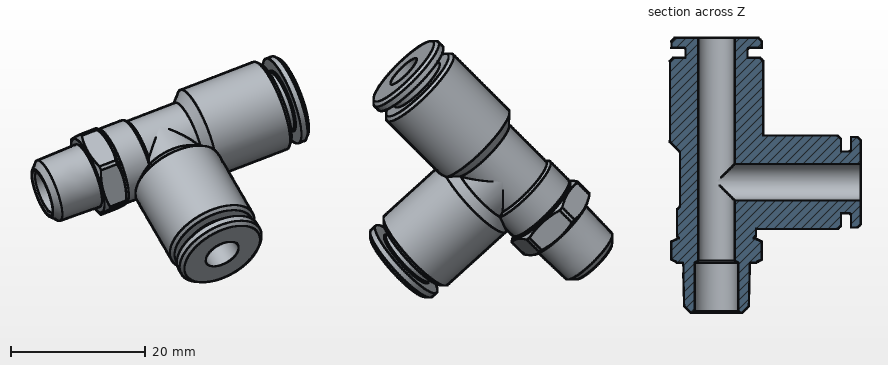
import cadquery as cq
import math


socket_diameter = 14.0
socket_radius = socket_diameter / 2
socket_end = 18.57
socket_chamfer = 0.55
stem_radius = 5.5
shoulder_start = 4.5
shoulder_end = shoulder_start + socket_radius - stem_radius

sleeve_radius = 4.65
sleeve_cap_radius = 6.75
sleeve_cap_start = 20.0
sleeve_end = 21.52
sleeve_cap_chamfer = 0.55
sleeve_neck_chamfer = 0.2

collar_radius = 5.9
collar_start = 3.6
collar_top_chamfer = collar_radius - stem_radius
collar_bottom_chamfer = 0.35

hex_start = 8.35
hex_end = 12.0
hex_sides = 6
hex_across_flats = 12.0
hex_corner_radius = 6.75
hex_face_radius = 5.85
hex_bevel_height = 0.5

overall_length = 41
plug_end = overall_length - sleeve_end
plug_root_radius = 5.0
plug_tip_radius = 4.85
plug_chamfer = 1.02

bore_radius = 2.7
plug_bore_radius = 3.25
plug_bore_start = hex_end
drill_point_angle = 118
plug_bore_cone_depth = (plug_bore_radius - bore_radius) / math.tan(math.radians(drill_point_angle / 2))
plug_mouth_chamfer = 0.33


def turned(profile):
    """Solid of revolution about Y from (radius, distance) points, closed along the axis."""
    first_distance = profile[0][1]
    last_distance = profile[-1][1]
    points = [(0, first_distance)] + profile + [(0, last_distance)]
    return cq.Workplane("XY").polyline(points).close().revolve(360, (0, 0, 0), (0, 1, 0))


def socket_arm():
    """Stem and socket with its release sleeve, pointing along +Y from the crossing point."""
    return turned([
        (stem_radius, 0),
        (stem_radius, shoulder_start),
        (socket_radius, shoulder_end),
        (socket_radius, socket_end - socket_chamfer),
        (socket_radius - socket_chamfer, socket_end),
        (sleeve_radius, socket_end),
        (sleeve_radius, sleeve_cap_start - sleeve_neck_chamfer),
        (sleeve_radius + sleeve_neck_chamfer, sleeve_cap_start),
        (sleeve_cap_radius, sleeve_cap_start),
        (sleeve_cap_radius, sleeve_end - sleeve_cap_chamfer),
        (sleeve_cap_radius - sleeve_cap_chamfer, sleeve_end),
    ])


def lower_stem():
    """Stem, collar and thread plug below the crossing point."""
    return turned([
        (stem_radius, 0),
        (stem_radius, -collar_start),
        (collar_radius, -collar_start - collar_top_chamfer),
        (collar_radius, -hex_start + collar_bottom_chamfer),
        (collar_radius - collar_bottom_chamfer, -hex_start),
        (plug_root_radius, -hex_start),
        (plug_root_radius, -hex_end),
        (plug_tip_radius, -plug_end + plug_chamfer),
        (plug_tip_radius - plug_chamfer, -plug_end),
    ])


def hex_nut():
    """Hexagon with flats facing +Z and -Z, rounded at the corners and bevelled on both faces."""
    corner_diameter = hex_across_flats / math.cos(math.pi / hex_sides)
    prism = (
        cq.Workplane("XZ", origin=(0, -hex_start, 0))
        .polygon(hex_sides, corner_diameter)
        .extrude(hex_end - hex_start)
    )
    bevel_envelope = turned([
        (hex_face_radius, -hex_start),
        (hex_corner_radius, -hex_start - hex_bevel_height),
        (hex_corner_radius, -hex_end + hex_bevel_height),
        (hex_face_radius, -hex_end),
    ])
    return prism.intersect(bevel_envelope)


def arm_bore():
    """Plain bore along +Y from the crossing point to the outer end of a sleeve."""
    return turned([
        (bore_radius, 0),
        (bore_radius, sleeve_end),
    ])


def lower_bore():
    """Bore towards -Y that opens out through a drill-point cone into the wider plug bore."""
    return turned([
        (bore_radius, 0),
        (bore_radius, -plug_bore_start + plug_bore_cone_depth),
        (plug_bore_radius, -plug_bore_start),
        (plug_bore_radius, -plug_end + plug_mouth_chamfer),
        (plug_bore_radius + plug_mouth_chamfer, -plug_end),
    ])


def along_branch(arm):
    """Turn a shape built along +Y so that it points along +X."""
    return arm.rotate((0, 0, 0), (0, 0, 1), -90)


body = (
    socket_arm()
    .union(lower_stem())
    .union(along_branch(socket_arm()))
    .union(hex_nut())
)
bores = arm_bore().union(lower_bore()).union(along_branch(arm_bore()))

result = body.cut(bores)